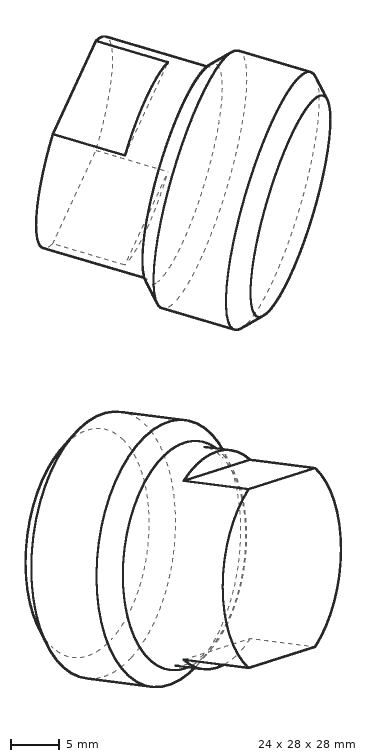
import cadquery as cq

length = 24.0
head_diameter = 28.0
shank_diameter = 23.0

bevel = 2.0
head_length = 12.0

flat_length = 8.0
across_flats = 19.0

head_radius = head_diameter / 2
shank_radius = shank_diameter / 2
rim_radius = head_radius - bevel
head_start = length - head_length

neck_fillet = rim_radius - shank_radius


def turned_body():
    """Shank and bevelled head, revolved from a half outline."""
    outline = (
        cq.Workplane("XY")
        .moveTo(0, 0)
        .lineTo(0, shank_radius)
        .lineTo(head_start - neck_fillet, shank_radius)
        .radiusArc((head_start, rim_radius), -neck_fillet)
        .lineTo(head_start + bevel, head_radius)
        .lineTo(length - bevel, head_radius)
        .lineTo(length, rim_radius)
        .lineTo(length, 0)
        .close()
    )
    return outline.revolve(360, (0, 0, 0), (1, 0, 0))


def flat_cutter(side):
    """Block that leaves one flat; side is +1 for the top, -1 for the bottom."""
    depth = (head_diameter - across_flats) / 2
    middle = side * (across_flats + depth) / 2
    block = cq.Workplane("XY").box(flat_length, head_diameter, depth)
    return block.translate((flat_length / 2, 0, middle))


result = turned_body()
for side in (1, -1):
    result = result.cut(flat_cutter(side))